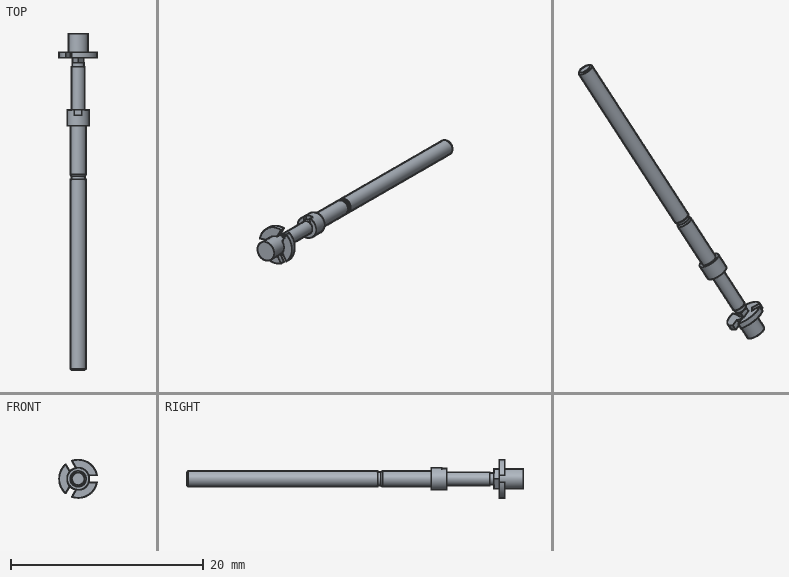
import cadquery as cq
import math

LENGTH = 35.0
HEAD_END_Y = LENGTH / 2

HEAD_DIAMETER = 2.05
HEAD_RADIUS = HEAD_DIAMETER / 2
HEAD_LENGTH = 1.92
FLANGE_RADIUS = 2.0
FLANGE_THICKNESS = 0.6
SLOT_COUNT = 3
SLOT_WIDTH = 0.75

KEY_LENGTH = 0.52
KEY_HALF_HEIGHT = HEAD_RADIUS
KEY_TIP_HALF_ANGLE = 30
KEY_HALF_WIDTH = KEY_HALF_HEIGHT * math.tan(math.radians(KEY_TIP_HALF_ANGLE))

NECK_RADIUS = 0.63
NECK_LENGTH = 0.42
ROD_RADIUS = 0.7

COLLAR_START = 7.95
COLLAR_LENGTH = 1.65
COLLAR_RADIUS = 1.15
NOTCH_WIDTH = 0.77
NOTCH_LENGTH = 0.52

SHAFT_DIAMETER = 1.65
SHAFT_RADIUS = SHAFT_DIAMETER / 2
GROOVE_START = 14.63
GROOVE_WIDTH = 0.52
GROOVE_SLOPE_LENGTH = 0.2
GROOVE_DEPTH = 0.1
TIP_CHAMFER_LENGTH = 0.15
TIP_CHAMFER_DEPTH = 0.18

FLANGE_END = HEAD_LENGTH + FLANGE_THICKNESS
KEY_END = FLANGE_END + KEY_LENGTH
NECK_END = KEY_END + NECK_LENGTH
COLLAR_END = COLLAR_START + COLLAR_LENGTH


def section_plane(station):
    """Plane across the pin at a station, with local x = X, local y = Z and normal -Y."""
    return cq.Workplane("XZ", origin=(0, HEAD_END_Y - station, 0))


def cylinder(start, end, radius):
    """Round section of the pin between two stations."""
    return section_plane(start).circle(radius).extrude(end - start)


def make_flange():
    """Disc with radial slots that run in from the rim to the head radius."""
    flange = cylinder(HEAD_LENGTH, FLANGE_END, FLANGE_RADIUS)
    slot = (
        section_plane(HEAD_LENGTH)
        .center(FLANGE_RADIUS / 2, 0)
        .rect(FLANGE_RADIUS, SLOT_WIDTH)
        .extrude(FLANGE_THICKNESS)
    )
    for index in range(SLOT_COUNT):
        angle = index * 360 / SLOT_COUNT
        flange = flange.cut(slot.rotate((0, 0, 0), (0, 1, 0), angle))
    return flange.union(cylinder(0, FLANGE_END, HEAD_RADIUS))


def make_key():
    """Lozenge prism with its sharp tips pointing up and down."""
    corners = [
        (KEY_HALF_WIDTH, 0),
        (0, KEY_HALF_HEIGHT),
        (-KEY_HALF_WIDTH, 0),
        (0, -KEY_HALF_HEIGHT),
    ]
    return section_plane(FLANGE_END).polyline(corners).close().extrude(KEY_LENGTH)


def make_rod():
    """Rod with a slightly thinner neck next to the key."""
    neck = cylinder(KEY_END, NECK_END, NECK_RADIUS)
    return neck.union(cylinder(NECK_END, COLLAR_START, ROD_RADIUS))


def make_collar():
    """Collar whose top notch opens toward the head and goes down to the rod surface."""
    notch_depth = COLLAR_RADIUS - ROD_RADIUS
    notch = (
        section_plane(COLLAR_START)
        .center(0, ROD_RADIUS + notch_depth / 2)
        .rect(NOTCH_WIDTH, notch_depth)
        .extrude(NOTCH_LENGTH)
    )
    return cylinder(COLLAR_START, COLLAR_END, COLLAR_RADIUS).cut(notch)


def make_shaft():
    """Shaft turned from its half profile: one shallow groove and a chamfered tip."""
    groove_radius = SHAFT_RADIUS - GROOVE_DEPTH
    profile = [
        (0, COLLAR_END),
        (SHAFT_RADIUS, COLLAR_END),
        (SHAFT_RADIUS, GROOVE_START),
        (groove_radius, GROOVE_START + GROOVE_SLOPE_LENGTH),
        (groove_radius, GROOVE_START + GROOVE_WIDTH),
        (SHAFT_RADIUS, GROOVE_START + GROOVE_WIDTH),
        (SHAFT_RADIUS, LENGTH - TIP_CHAMFER_LENGTH),
        (SHAFT_RADIUS - TIP_CHAMFER_DEPTH, LENGTH),
        (0, LENGTH),
    ]
    outline = [(radius, HEAD_END_Y - station) for radius, station in profile]
    return cq.Workplane("XY").polyline(outline).close().revolve(360, (0, 0), (0, 1))


result = (
    make_flange()
    .union(make_key())
    .union(make_rod())
    .union(make_collar())
    .union(make_shaft())
)